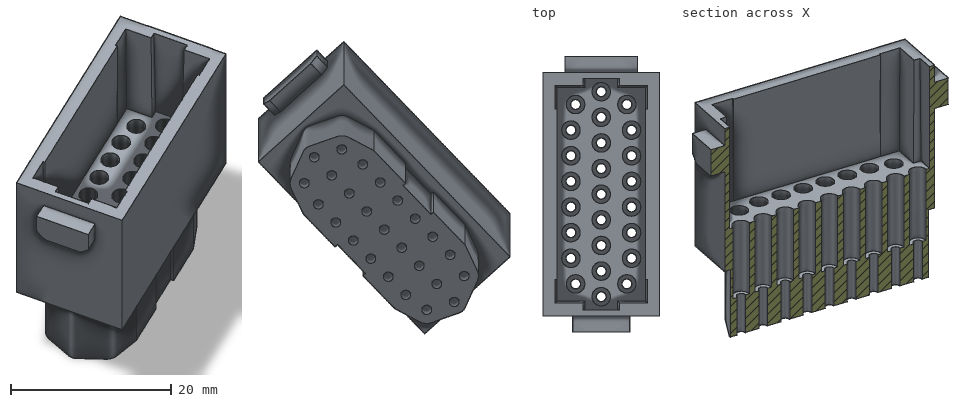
import cadquery as cq

BODY_WIDTH = 14.6
BODY_LENGTH = 30.4
OVERALL_LENGTH = 34.4
OVERALL_HEIGHT = 30.65
BLOCK_HEIGHT = 9.8

LUG_HEIGHT = 3.9
LUG_DROP = 2.48
LUG_CHAMFER = 1.03
FRONT_LUG_WIDTH = 7.12
REAR_LUG_WIDTH = 9.08

CAVITY_DEPTH = 14.8
CAVITY_WIDTH = 11.08
WALL_DRAFT = 0.25
CORNER_LENGTH = 27.18
CORNER_START = 10.63
KEYWAY_WIDTH = 4.58
KEYWAY_LENGTH = 28.9

BLOCK_WIDTH = 12.05
BLOCK_SIDE_END = 8.35
BLOCK_SHOULDER = (4.65, 12.5)
BLOCK_PEAK = 14.48
PEAK_RADIUS = 1.35
SHOULDER_RADIUS = 1.8
SIDE_RECESS_LENGTH = 5.1
SIDE_RECESS_DEPTH = 0.4

HOLE_DIAMETER = 1.2
BORE_DIAMETER = 2.3
BORE_DEPTH = 10.32
CONTACT_PITCH = 3.2
CENTRE_COUNT = 9
SIDE_COUNT = 8
SIDE_ROW_X = 3.8
ROW_END_X = 3.2

LUG_LENGTH = (OVERALL_LENGTH - BODY_LENGTH) / 2
LUG_TOP = OVERALL_HEIGHT - LUG_DROP
FLOOR_Z = OVERALL_HEIGHT - CAVITY_DEPTH


def shell_body():
    height = OVERALL_HEIGHT - BLOCK_HEIGHT
    return cq.Workplane("XY").workplane(offset=BLOCK_HEIGHT).rect(BODY_WIDTH, BODY_LENGTH).extrude(height)


def lug(width):
    """Lug standing out from the -Y end wall, with both lower corners chamfered."""
    return (
        cq.Workplane("XY")
        .box(width, LUG_LENGTH, LUG_HEIGHT)
        .edges("<Z and |Y")
        .chamfer(LUG_CHAMFER)
        .translate((0, -(BODY_LENGTH + LUG_LENGTH) / 2, LUG_TOP - LUG_HEIGHT / 2))
    )


def contact_block():
    """Long block with pointed ends, rounded at the peaks and shoulders."""
    half_width = BLOCK_WIDTH / 2
    shoulder_x, shoulder_y = BLOCK_SHOULDER
    outline = [
        (0, BLOCK_PEAK),
        (shoulder_x, shoulder_y),
        (half_width, BLOCK_SIDE_END),
        (half_width, -BLOCK_SIDE_END),
        (shoulder_x, -shoulder_y),
        (0, -BLOCK_PEAK),
        (-shoulder_x, -shoulder_y),
        (-half_width, -BLOCK_SIDE_END),
        (-half_width, BLOCK_SIDE_END),
        (-shoulder_x, shoulder_y),
    ]
    block = cq.Workplane("XY").polyline(outline).close().extrude(BLOCK_HEIGHT)
    for side in (-1, 1):
        for x in (-shoulder_x, shoulder_x):
            corner = cq.selectors.NearestToPointSelector((x, side * shoulder_y, BLOCK_HEIGHT / 2))
            block = block.edges("|Z").edges(corner).fillet(SHOULDER_RADIUS)
        peak = cq.selectors.NearestToPointSelector((0, side * BLOCK_PEAK, BLOCK_HEIGHT / 2))
        block = block.edges("|Z").edges(peak).fillet(PEAK_RADIUS)
    recesses = (
        cq.Workplane("XY")
        .pushPoints([(-half_width, 0), (half_width, 0)])
        .rect(2 * SIDE_RECESS_DEPTH, SIDE_RECESS_LENGTH)
        .extrude(BLOCK_HEIGHT)
    )
    return block.cut(recesses)


def drafted_pocket(x_draft, y_min, y_max, y_draft, width):
    """Pocket from rim to floor; its sides and its outer +Y end run in towards the floor."""
    length = y_max - y_min
    return (
        cq.Workplane("XY")
        .workplane(offset=OVERALL_HEIGHT)
        .center(0, y_min + length / 2)
        .rect(width, length)
        .workplane(offset=-CAVITY_DEPTH)
        .center(0, -y_draft / 2)
        .rect(width - 2 * x_draft, length - y_draft)
        .loft(ruled=True)
    )


def cavity():
    middle = cq.Workplane("XY").box(CAVITY_WIDTH, 2 * CORNER_START, CAVITY_DEPTH, centered=(True, True, False))
    middle = middle.translate((0, 0, FLOOR_Z))
    corner_width = CAVITY_WIDTH + 2 * WALL_DRAFT
    corners = drafted_pocket(WALL_DRAFT, CORNER_START, CORNER_LENGTH / 2, WALL_DRAFT, corner_width)
    keyway = drafted_pocket(WALL_DRAFT, 0, KEYWAY_LENGTH / 2, 0, KEYWAY_WIDTH)
    end = corners.union(keyway)
    return middle.union(end).union(end.mirror("XZ"))


def contact_points():
    centre_half = (CENTRE_COUNT - 1) / 2
    points = [(0, (i - centre_half) * CONTACT_PITCH) for i in range(CENTRE_COUNT)]
    side_half = (SIDE_COUNT - 1) / 2
    for i in range(SIDE_COUNT):
        x = ROW_END_X if i in (0, SIDE_COUNT - 1) else SIDE_ROW_X
        y = (i - side_half) * CONTACT_PITCH
        points += [(-x, y), (x, y)]
    return points


def contact_holes():
    plane = cq.Workplane("XY").pushPoints(contact_points())
    holes = plane.circle(HOLE_DIAMETER / 2).extrude(FLOOR_Z)
    bores = plane.circle(BORE_DIAMETER / 2).extrude(BORE_DEPTH).translate((0, 0, FLOOR_Z - BORE_DEPTH))
    return holes.union(bores)


rear_lug = lug(REAR_LUG_WIDTH).mirror("XZ")
outside = shell_body().union(lug(FRONT_LUG_WIDTH)).union(rear_lug).union(contact_block())
result = outside.cut(cavity()).cut(contact_holes())